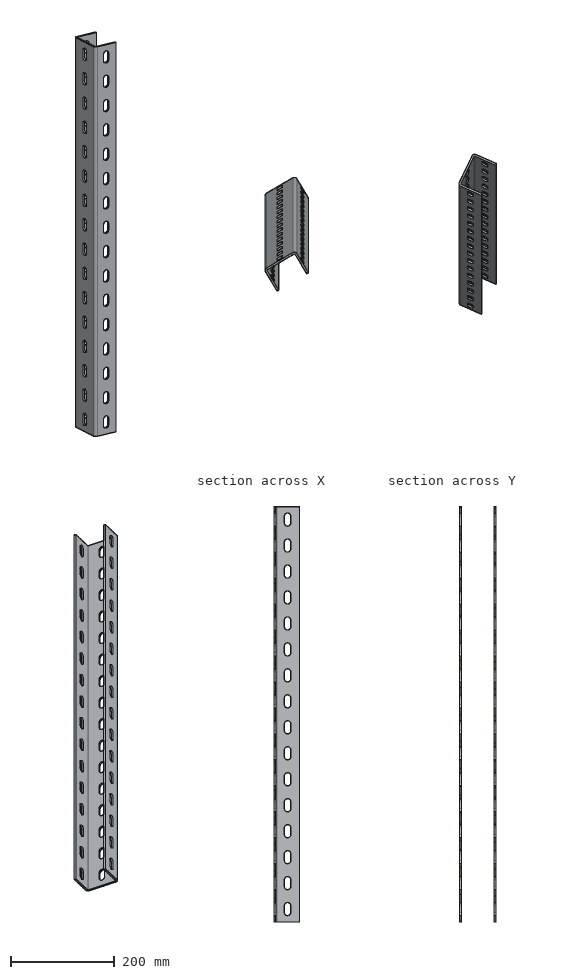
import cadquery as cq

length = 800.0
width = 70.0
depth = 50.0
thickness = 4.0
inner_bend_radius = 2.0
outer_bend_radius = inner_bend_radius + thickness

slot_count = 16
slot_pitch = length / slot_count
slot_length = 25.0
slot_width = 12.0
flange_slot_from_web = 26.0


def make_channel():
    """Bent sheet: a rounded bar with its inside removed."""
    outside = (
        cq.Workplane("XY")
        .rect(width, depth)
        .extrude(length)
        .edges("|Z and <Y")
        .fillet(outer_bend_radius)
    )
    inside = (
        cq.Workplane("XY")
        .center(0, thickness)
        .rect(width - 2 * thickness, depth)
        .extrude(length)
        .edges("|Z and <Y")
        .fillet(inner_bend_radius)
    )
    return outside.cut(inside)


def slot_row(plane, offset, reach):
    """Upright slots spaced evenly along Z, cutting `reach` to both sides of the plane."""
    centres = [(offset, (i + 0.5) * slot_pitch) for i in range(slot_count)]
    return (
        cq.Workplane(plane)
        .pushPoints(centres)
        .slot2D(slot_length, slot_width, 90)
        .extrude(reach, both=True)
    )


web_slots = slot_row("XZ", 0, depth)
flange_slots = slot_row("YZ", flange_slot_from_web - depth / 2, width)

result = make_channel().cut(web_slots).cut(flange_slots)